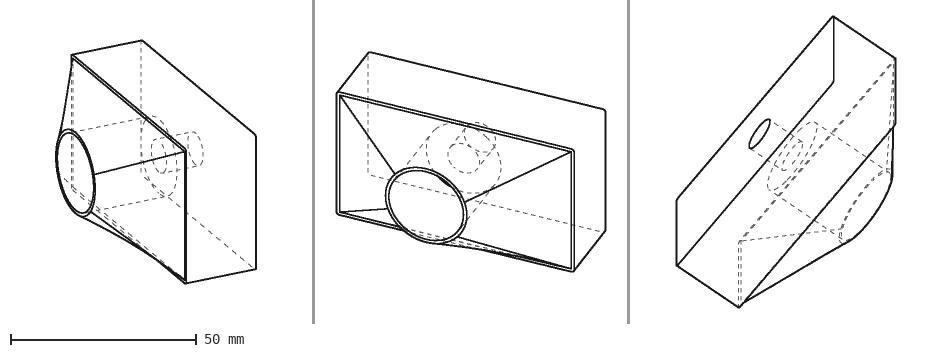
import cadquery as cq
import math

width = 70.0
height = 40.0
body_depth = 21.0
wall = 1.0
edge_radius = wall

funnel_depth = 15.0
mouth_radius = 12.0
mouth_x = -2.0
mouth_z = 1.05
corner_angles = [20.0, 140.0, 200.0, 320.0]

bore_radius = mouth_radius - wall
bore_depth = 25.0
hole_diameter = 9.3

mouth_y = -funnel_depth


def mouth_point(angle):
    """Point on the mouth rim at an angle in degrees, measured from +X toward +Z."""
    turn = math.radians(angle)
    return cq.Vector(
        mouth_x + mouth_radius * math.cos(turn),
        mouth_y,
        mouth_z + mouth_radius * math.sin(turn),
    )


def make_body():
    body = cq.Workplane("XY").box(width, body_depth, height, centered=(True, False, True))
    return body.edges("|Y").fillet(edge_radius)


def make_funnel():
    """Solid of four ruled sides, each joining a straight base edge to an arc of the mouth."""
    half_x = width / 2 - wall
    half_z = height / 2 - wall
    corners = [
        cq.Vector(half_x, 0, half_z),
        cq.Vector(-half_x, 0, half_z),
        cq.Vector(-half_x, 0, -half_z),
        cq.Vector(half_x, 0, -half_z),
    ]
    base_edges = []
    mouth_edges = []
    for index, corner in enumerate(corners):
        following = (index + 1) % len(corners)
        start = corner_angles[index]
        sweep = (corner_angles[following] - start) % 360
        base_edges.append(cq.Edge.makeLine(corner, corners[following]))
        mouth_edges.append(
            cq.Edge.makeThreePointArc(
                mouth_point(start),
                mouth_point(start + sweep / 2),
                mouth_point(start + sweep),
            )
        )
    faces = [cq.Face.makeRuledSurface(base, rim) for base, rim in zip(base_edges, mouth_edges)]
    for loop in (base_edges, mouth_edges):
        faces.append(cq.Face.makeFromWires(cq.Wire.assembleEdges(loop)))
    funnel = cq.Solid.makeSolid(cq.Shell.makeShell(faces)).fix()
    return cq.Workplane("XY").newObject([funnel])


def make_bore():
    """Wide bore from the mouth, continued by a smaller hole out through the back."""
    mouth_plane = cq.Plane(origin=(mouth_x, mouth_y, mouth_z), xDir=(1, 0, 0), normal=(0, 1, 0))
    bore = cq.Workplane(mouth_plane).circle(bore_radius).extrude(bore_depth)
    hole = cq.Workplane(mouth_plane).circle(hole_diameter / 2).extrude(funnel_depth + body_depth)
    return bore.union(hole)


result = make_body().union(make_funnel()).cut(make_bore())